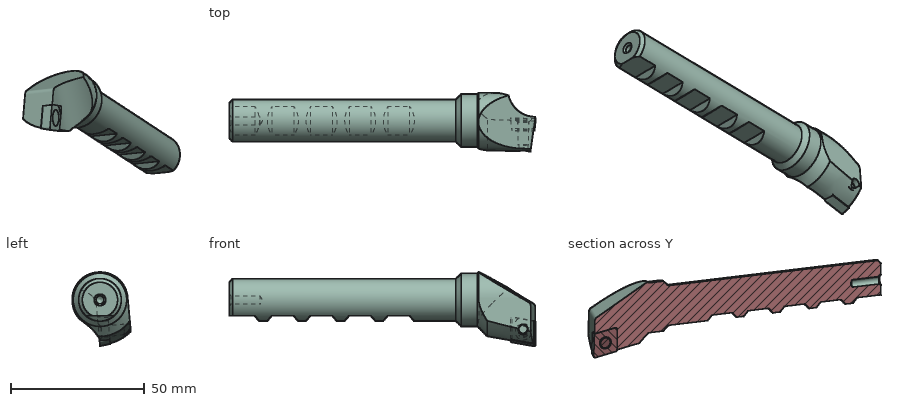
import cadquery as cq
import math

shank_dia = 16.0
collar_dia = 20.0
head_dia = 20.9
flare_end_dia = 27.4
total_length = 115.0
rear_chamfer_length = 1.3
rear_chamfer_depth = 1.4
collar_cone_x = 85.0
collar_x = 87.0
collar_end_x = 93.0
belly_angle = 10.0
belly_end_y = 6.3

coolant_dia = 3.0
coolant_mouth_dia = 4.4
coolant_depth = 11.5
drill_point_angle = 118.0

notch_floor_z = -6.0
notch_floor_length = 8.2
notch_wall_run = 1.7
notch_pitch = 14.5
notch_count = 4
first_notch_x = 16.0
end_notch_length = 9.5

head_roll = -5.3
slope_angle = 30.0
slope_roll = 2.8
front_face_x = 114.7
front_clearance = 8.0
front_round = 2.0
gullet_rise = 45.0
gullet_radius = 12.0
gullet_drop = 13.0

tip_drop = 17.5
insert_corner_angle = 80.0
insert_inscribed_dia = 9.5
insert_thickness = 3.9
insert_clearance = 7.0
insert_nose_radius = 0.8
insert_hole_dia = 4.4

screw_dia = 4.0
screw_head_dia = 6.1
screw_end_depth = 2.5
tap_hole_dia = 3.3

shank_r = shank_dia / 2
collar_r = collar_dia / 2
head_r = head_dia / 2
flare_r = flare_end_dia / 2
head_x = collar_end_x + head_r - collar_r
flare_x = head_x + flare_r - head_r
belly_r = flare_r + (total_length - flare_x) * math.tan(math.radians(belly_angle))
tip_z = -tip_drop
rake_y = tip_drop * math.tan(math.radians(-head_roll))
insert_side = insert_inscribed_dia / math.sin(math.radians(insert_corner_angle))
half_corner = math.radians(insert_corner_angle / 2)
center_distance = insert_inscribed_dia / 2 / math.sin(half_corner)
center_direction = math.radians(90) + half_corner
screw_x = total_length + center_distance * math.cos(center_direction)
screw_z = tip_z + center_distance * math.sin(center_direction)
insert_back_y = rake_y - insert_thickness
screw_end_y = -head_r + screw_end_depth
reach = 172.5


def along_y(start_y, end_y, diameter):
    """Round bar on the screw axis, between two places along Y."""
    length = end_y - start_y
    plane = cq.Plane(origin=(screw_x, start_y, screw_z), xDir=(1, 0, 0), normal=(0, 1, 0))
    return cq.Workplane(plane).circle(diameter / 2).extrude(length)


def screw_head_cone():
    """Head whose sides slope at 45 degrees from the rake face down to the screw shank."""
    head_height = (screw_head_dia - screw_dia) / 2
    plane = cq.Plane(origin=(screw_x, rake_y, screw_z), xDir=(1, 0, 0), normal=(0, -1, 0))
    return cq.Workplane(plane).circle(screw_head_dia / 2).extrude(head_height, taper=45)


def rolled(body):
    """Turn a shape from the upright head frame to its place about the bar axis."""
    return body.rotate((0, 0, 0), (1, 0, 0), head_roll)


def turned_bar():
    profile = [
        (0, 0),
        (0, shank_r - rear_chamfer_depth),
        (rear_chamfer_length, shank_r),
        (collar_cone_x, shank_r),
        (collar_x, collar_r),
        (collar_end_x, collar_r),
        (head_x, head_r),
        (total_length, head_r),
        (total_length, 0),
    ]
    return cq.Workplane("XY").polyline(profile).close().revolve(360, (0, 0, 0), (1, 0, 0))


def belly():
    """Flared underside of the head, between the side flat and the gullet."""
    profile = [
        (collar_end_x, 0),
        (collar_end_x, collar_r),
        (flare_x, flare_r),
        (total_length, belly_r),
        (total_length, 0),
    ]
    flared = cq.Workplane("XY").polyline(profile).close().revolve(360, (0, 0, 0), (1, 0, 0))
    lower_half = cq.Workplane("XY").box(reach, head_r + belly_end_y, reach, centered=False)
    return flared.intersect(rolled(lower_half.translate((0, -head_r, -reach))))


def coolant_hole():
    hole_r = coolant_dia / 2
    mouth_r = coolant_mouth_dia / 2
    point_length = hole_r / math.tan(math.radians(drill_point_angle / 2))
    profile = [
        (0, 0),
        (0, mouth_r),
        (mouth_r - hole_r, hole_r),
        (coolant_depth, hole_r),
        (coolant_depth + point_length, 0),
    ]
    return cq.Workplane("XY").polyline(profile).close().revolve(360, (0, 0, 0), (1, 0, 0))


def notch(start_x, floor_length, start_run):
    """Cut below the notch floor; the end wall leans outwards, and the start wall leans by start_run."""
    end_x = start_x + floor_length
    profile = [
        (start_x, notch_floor_z),
        (end_x, notch_floor_z),
        (end_x + notch_wall_run, -shank_r),
        (start_x - start_run, -shank_r),
    ]
    return cq.Workplane("XZ").polyline(profile).close().extrude(shank_r, both=True)


def head_envelope():
    """Block bounded by the sloped top, the front face and the round between them."""
    block = cq.Workplane("XY").box(2 * reach, 2 * reach, 2 * reach)
    below_slope = (
        block.translate((head_x, 0, head_r - reach))
        .rotate((head_x, 0, head_r), (head_x, 1, head_r), slope_angle)
        .rotate((0, 0, 0), (1, 0, 0), slope_roll)
    )
    behind_front = block.translate((front_face_x - reach, 0, 0)).rotate(
        (front_face_x, 0, 0), (front_face_x, 0, 1), -front_clearance
    )
    edge_z = head_r - (front_face_x - head_x) * math.tan(math.radians(slope_angle))
    front_edge = cq.selectors.NearestToPointSelector((front_face_x, 0, edge_z))
    return below_slope.intersect(behind_front).edges(front_edge).fillet(front_round)


def gullet():
    """Cut beside the rake face, rising towards the front, with a round upper corner."""
    rise = math.radians(gullet_rise)
    plane = cq.Plane(
        origin=(flare_x, rake_y, 0),
        xDir=(0, 1, 0),
        normal=(math.cos(rise), 0, math.sin(rise)),
    )
    profile = (
        cq.Workplane(plane)
        .moveTo(0, -reach)
        .lineTo(0, -gullet_drop)
        .radiusArc((gullet_radius, gullet_radius - gullet_drop), gullet_radius)
        .lineTo(reach, gullet_radius - gullet_drop)
        .lineTo(reach, -reach)
        .close()
    )
    return rolled(profile.extrude(reach, both=True))


def insert_blank():
    """Rhombic plate with rounded corners, tapering back from its rake face."""
    side_x = insert_side * math.cos(math.radians(90 + insert_corner_angle))
    side_z = insert_side * math.sin(math.radians(90 + insert_corner_angle))
    corners = [
        (total_length, tip_z),
        (total_length, tip_z + insert_side),
        (total_length + side_x, tip_z + insert_side + side_z),
        (total_length + side_x, tip_z + side_z),
    ]
    outline = cq.Sketch().polygon([*corners, corners[0]]).vertices().fillet(insert_nose_radius)
    plate = cq.Workplane("XZ", origin=(0, rake_y, 0)).placeSketch(outline)
    return rolled(plate.extrude(insert_thickness, taper=insert_clearance))


def make_holder():
    holder = turned_bar().union(belly()).intersect(head_envelope()).cut(gullet())
    holder = holder.cut(coolant_hole())
    holder = holder.cut(notch(0, end_notch_length, 0))
    for index in range(notch_count):
        start_x = first_notch_x + index * notch_pitch
        holder = holder.cut(notch(start_x, notch_floor_length, notch_wall_run))
    holder = holder.cut(insert_blank())
    screw_hole = along_y(screw_end_y, insert_back_y, screw_dia)
    tap_hole = along_y(-reach, screw_end_y, tap_hole_dia)
    return holder.cut(rolled(screw_hole)).cut(rolled(tap_hole))


def make_insert():
    hole = along_y(insert_back_y, rake_y, insert_hole_dia).union(screw_head_cone())
    return insert_blank().cut(rolled(hole))


def make_screw():
    return rolled(along_y(screw_end_y, rake_y, screw_dia).union(screw_head_cone()))


holder = make_holder()
insert = make_insert()
screw = make_screw()

result = cq.Compound.makeCompound([holder.val(), insert.val(), screw.val()])